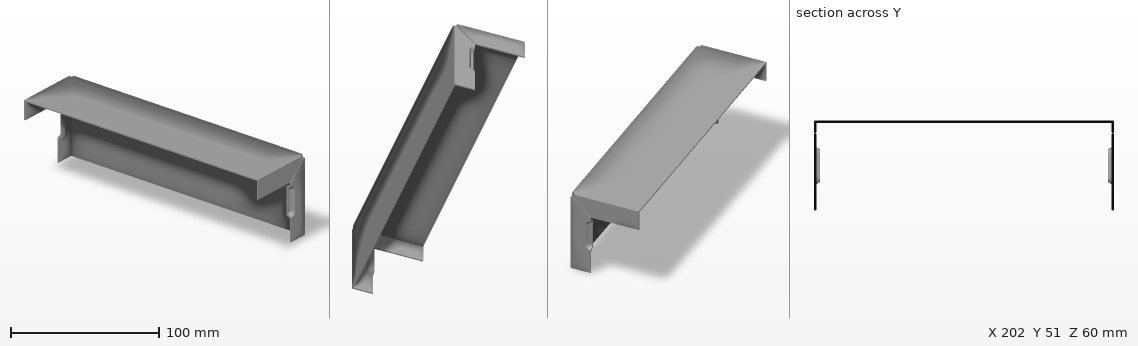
import cadquery as cq

length = 202.0
top_depth = 51.0
height = 60.0
sheet = 1.0
flange_depth = 15.0

miter_gap = 0.8
gap_length = 3 * flange_depth
miter_angle = 45.0
notch_size = 2.2

recess_center_z = 29.9
recess_length = 23.0
recess_reach = 4.0
recess_push = 2.8
recess_slope = 2.0
recess_radius = 3.8
recess_wall = 1.6


def block(x_range, y_range, z_range):
    """Box spanning the given ranges."""
    sizes = [high - low for low, high in (x_range, y_range, z_range)]
    corner = (x_range[0], y_range[0], z_range[0])
    return cq.Workplane("XY").box(*sizes, centered=False).translate(corner)


def mirror_to_other_end(body):
    """Mirror a left-end body about the middle of the length."""
    return body.mirror("YZ", (length / 2, 0, 0))


def bent_plates():
    """Top plate and upright plate meeting along the back edge."""
    top = block((0, length), (0, top_depth), (height - sheet, height))
    upright = block((0, length), (top_depth - sheet, top_depth), (0, height))
    return top.union(upright)


def end_flange():
    """L-shaped pair of left flanges, split by a diagonal gap."""
    front = top_depth - flange_depth
    bottom = height - flange_depth
    outline = [
        (0, height), (top_depth, height), (top_depth, 0),
        (front, 0), (front, bottom), (0, bottom),
    ]
    flange = cq.Workplane("YZ").polyline(outline).close().extrude(sheet)
    gap = (
        cq.Workplane("YZ")
        .rect(gap_length, miter_gap)
        .extrude(sheet)
        .rotate((0, 0, 0), (1, 0, 0), miter_angle)
        .translate((0, top_depth - flange_depth / 2, height - flange_depth / 2))
    )
    clear_of_plates = block(
        (0, sheet), (0, top_depth - sheet), (0, height - sheet)
    )
    return flange.cut(gap.intersect(clear_of_plates))


def rounded_profile(reach, span, radius):
    """Rounded rectangle centered on the flange edge."""
    return cq.Sketch().rect(2 * reach, span).vertices().fillet(radius)


def recess_form(side_offset, depth):
    """Tapered pressing of the given depth, with its sides grown outward by side_offset."""
    front = top_depth - flange_depth
    reach = recess_reach + side_offset
    span = recess_length + 2 * side_offset
    radius = recess_radius + side_offset
    mouth = rounded_profile(reach, span, radius)
    floor = rounded_profile(reach - recess_slope, span - 2 * recess_slope, radius - recess_slope)
    form = (
        cq.Workplane("YZ", origin=(0, front, recess_center_z))
        .placeSketch(mouth, floor.moved(cq.Location(cq.Vector(0, 0, depth))))
        .loft()
    )
    behind_edge = block((0, depth), (front, top_depth), (0, height))
    return form.intersect(behind_edge)


def corner_notch():
    """Cube removed where the left flanges meet the back top edge."""
    return block(
        (0, notch_size),
        (top_depth - notch_size, top_depth),
        (height - notch_size, height),
    )


recess_shell = recess_form(recess_wall, recess_push + sheet)
recess_hollow = recess_form(0, recess_push)
pressed_flange = end_flange().union(recess_shell).cut(recess_hollow)
result = bent_plates().union(pressed_flange).union(mirror_to_other_end(pressed_flange))
result = result.cut(corner_notch()).cut(mirror_to_other_end(corner_notch()))